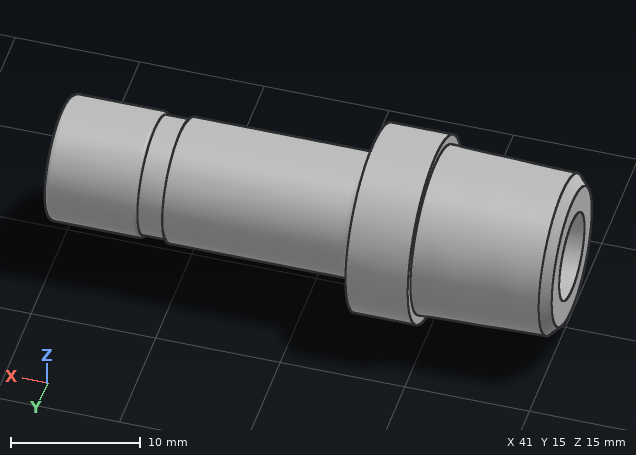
import cadquery as cq


total_length = 41.0
bore_radius = 3.5

gauge_length = 6.0
gauge_radius = 13.157 / 2
radial_taper = 1 / 32
thread_length = 11.0
lead_chamfer_length = 0.8
lead_chamfer_depth = 0.85

flange_length = 5.0
flange_radius = 7.5

stem_radius = 5.0
root_fillet = 1.0
tip_fillet = 0.5

groove_start = 31.25
groove_length = 2.5
groove_depth = 0.25

flange_end = thread_length + flange_length
groove_end = groove_start + groove_length
groove_radius = stem_radius - groove_depth


def taper_radius(x):
    """Radius of the tapered thread envelope at the axial position x."""
    return gauge_radius + (x - gauge_length) * radial_taper


def add_thread(outline):
    """Chamfered lead-in, then the taper in two cones meeting at the gauge plane."""
    chamfer_radius = taper_radius(lead_chamfer_length)
    return (
        outline
        .lineTo(0, chamfer_radius - lead_chamfer_depth)
        .lineTo(lead_chamfer_length, chamfer_radius)
        .lineTo(gauge_length, gauge_radius)
        .lineTo(thread_length, taper_radius(thread_length))
    )


def add_flange(outline):
    """Plain collar, down to the top of the fillet at the stem root."""
    return (
        outline
        .lineTo(thread_length, flange_radius)
        .lineTo(flange_end, flange_radius)
        .lineTo(flange_end, stem_radius + root_fillet)
    )


def add_stem(outline):
    """Stem with a root fillet, a round-edged groove and a rounded tip."""
    return (
        outline
        .radiusArc((flange_end + root_fillet, stem_radius), -root_fillet)
        .lineTo(groove_start, stem_radius)
        .radiusArc((groove_start + groove_depth, groove_radius), groove_depth)
        .lineTo(groove_end - groove_depth, groove_radius)
        .radiusArc((groove_end, stem_radius), groove_depth)
        .lineTo(total_length - tip_fillet, stem_radius)
        .radiusArc((total_length, stem_radius - tip_fillet), tip_fillet)
    )


half_section = cq.Workplane("XY").moveTo(0, bore_radius)
half_section = add_thread(half_section)
half_section = add_flange(half_section)
half_section = add_stem(half_section)
half_section = half_section.lineTo(total_length, bore_radius).close()

result = half_section.revolve(360, (0, 0, 0), (1, 0, 0), clean=False)